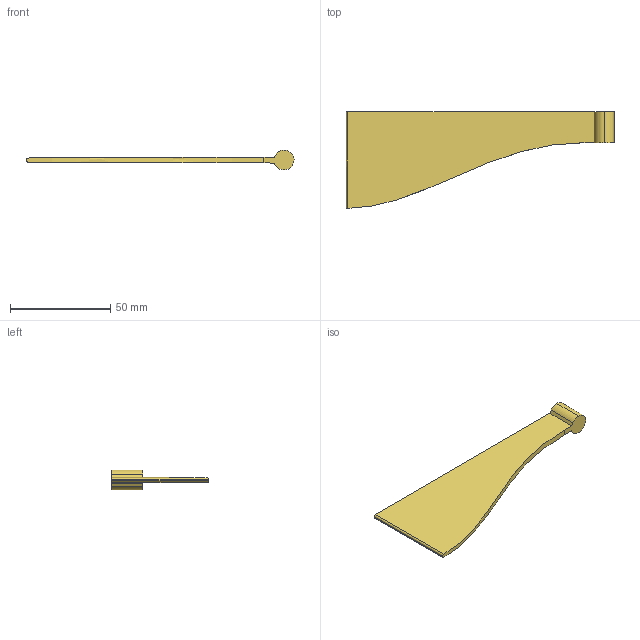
import cadquery as cq
import math

length = 133.93
tip_width = 48.29
neck_width = 15.5
head_radius = 5.0
tip_thickness = 2.0
neck_thickness = 3.0
tip_round = 0.95
straight_length = 15.0
tip_handle = 39.2
neck_handle = 48.9
flank_height = 3.0
flank_run = 0.9

head_x = length - head_radius
curve_end_x = length - straight_length
flank_top_x = head_x - math.sqrt(head_radius**2 - flank_height**2)
neck_end_x = flank_top_x - flank_run



def make_profile():
    """Side profile: tapered blade, flanks and round head, extruded over the full width."""
    tip_half = tip_thickness / 2
    neck_half = neck_thickness / 2
    mid_angle = (math.asin(flank_height / head_radius) + math.pi / 2) / 2
    mid_x = head_x - head_radius * math.cos(mid_angle)
    mid_z = head_radius * math.sin(mid_angle)
    return (
        cq.Workplane("XZ")
        .moveTo(0, -tip_half)
        .lineTo(neck_end_x, -neck_half)
        .lineTo(flank_top_x, -flank_height)
        .threePointArc((mid_x, -mid_z), (head_x, -head_radius))
        .threePointArc((length, 0), (head_x, head_radius))
        .threePointArc((mid_x, mid_z), (flank_top_x, flank_height))
        .lineTo(neck_end_x, neck_half)
        .lineTo(0, tip_half)
        .close()
        .extrude(tip_width)
        .edges("|Y and <X")
        .fillet(tip_round)
    )


def make_plan():
    """Plan outline: straight back edge and an S-curve flaring to the free end."""
    return (
        cq.Workplane("XY")
        .workplane(offset=-head_radius)
        .lineTo(0, -tip_width)
        .bezier(
            [
                (0, -tip_width),
                (tip_handle, -tip_width),
                (curve_end_x - neck_handle, -neck_width),
                (curve_end_x, -neck_width),
            ]
        )
        .lineTo(length, -neck_width)
        .lineTo(length, 0)
        .close()
        .extrude(2 * head_radius)
    )


result = make_profile().intersect(make_plan())